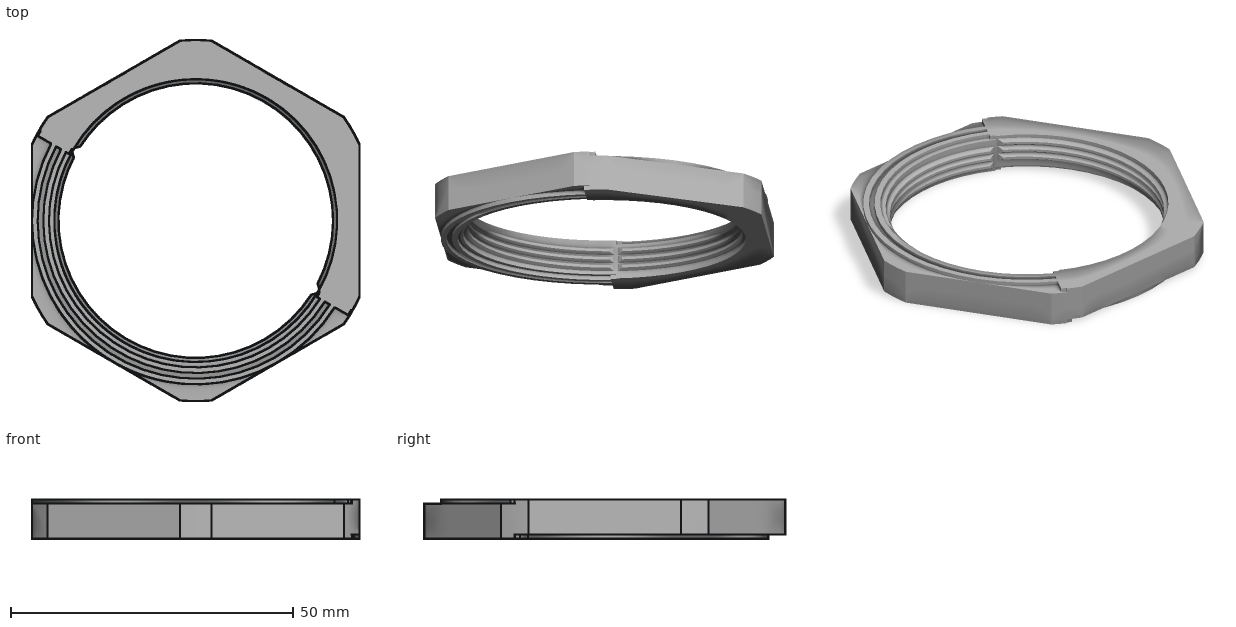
import cadquery as cq
import math


hexagon_sides = 6
across_flats = 58.0
corner_radius = 32.0
height = 7.0

pitch = 1.5
bore_radius = 25.05
crest_radius = 24.3
crest_width = 0.45
flank_angle = 30.0
thread_count = 3
thread_end_gap = 0.35
thread_root_overlap = 0.2
runout_margin = 1.0

step = pitch / 2
rib_width = 1.0
rib_outer_radii = (27.0, 29.0)
bridge_width = 1.0
bridge_inner_radius = 25.35
bridge_outer_radius = 31.75

parting_angle = -30.0

mid_height = height / 2
half_centre = (step + height) / 2
cover_size = 2 * corner_radius


def ring(inner_radius, outer_radius, bottom, thickness):
    """Flat ring centred on Z."""
    sketch = cq.Workplane("XY").workplane(offset=bottom).circle(outer_radius).circle(inner_radius)
    return sketch.extrude(thickness)


def side_block(width):
    """Full-height block on the +Y side of the parting plane, reaching out to the given width."""
    return cq.Workplane("XY").box(cover_size, width, height, centered=(True, False, False))


def hexagon_body():
    """Raised half of the hexagonal ring, with its corners rounded to a circle."""
    across_corners = across_flats / math.cos(math.pi / hexagon_sides)
    thickness = height - step
    outline = cq.Workplane("XY").workplane(offset=step).polygon(hexagon_sides, across_corners)
    return outline.extrude(thickness).intersect(ring(bore_radius, corner_radius, step, thickness))


def ribs():
    """Concentric ribs that stand on the step face."""
    first, second = [ring(outer - rib_width, outer, 0, step) for outer in rib_outer_radii]
    return first.union(second)


def bridge():
    """Strip along the parting plane that joins the ends of the ribs."""
    return ring(bridge_inner_radius, bridge_outer_radius, 0, step).intersect(side_block(bridge_width))


def thread_ridge(centre_height):
    """Half a turn of the thread, at the given height in the middle of the turn."""
    root_radius = bore_radius + thread_root_overlap
    half_crest = crest_width / 2
    half_root = half_crest + (root_radius - crest_radius) * math.tan(math.radians(flank_angle))
    start_height = centre_height - pitch / 4
    path = cq.Wire.makeHelix(pitch, pitch / 2, bore_radius)
    profile = (
        cq.Workplane("XZ")
        .moveTo(crest_radius, -half_crest)
        .lineTo(crest_radius, half_crest)
        .lineTo(root_radius, half_root)
        .lineTo(root_radius, -half_root)
        .close()
    )
    return profile.sweep(cq.Workplane(obj=path), isFrenet=True).translate((0, 0, start_height))


def thread_runout():
    """Prism whose 45 degree sides bevel both ends of the thread."""
    outer_reach = bore_radius + runout_margin
    inner_reach = crest_radius - runout_margin
    bottom = thread_end_gap - runout_margin
    top = bottom + outer_reach - inner_reach
    corners = [(-outer_reach, bottom), (outer_reach, bottom), (inner_reach, top), (-inner_reach, top)]
    return cq.Workplane("XY").polyline(corners).close().extrude(height)


def half_nut():
    """Raised half of the nut, on the +Y side of the parting plane."""
    half = hexagon_body().union(ribs()).intersect(side_block(cover_size)).union(bridge())
    for index in range(thread_count):
        centre_height = half_centre + (index - (thread_count - 1) / 2) * pitch
        half = half.union(thread_ridge(centre_height).cut(thread_runout()))
    return half


raised_half = half_nut()
lowered_half = raised_half.rotate((0, 0, mid_height), (1, 0, mid_height), 180)
result = raised_half.union(lowered_half).rotate((0, 0, 0), (0, 0, 1), parting_angle)